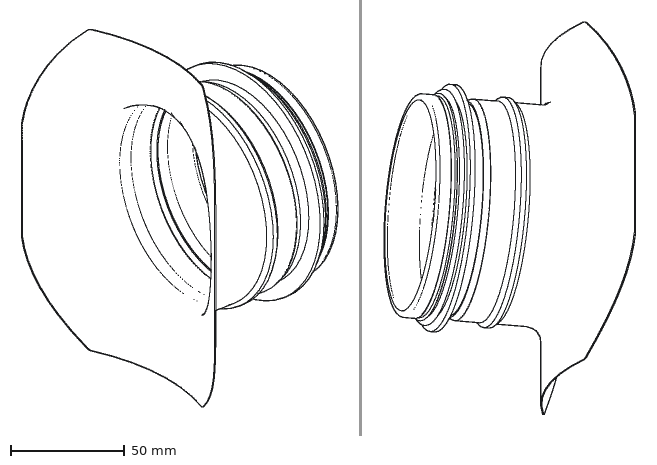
import cadquery as cq
import math


wall = 0.5
saddle_inner_radius = 100.0
saddle_outer_radius = saddle_inner_radius + wall
plate_width = 129.0
plate_height = 158.0
side_flat_half_height = 27.6
end_flat_half_width = 37.8
corner_arc_mid = (56.4, 55.3)
plate_corner_rounding = 3.2
flare_inner_radius = 7.5
flare_outer_radius = flare_inner_radius - wall

overall_depth = 86.3
plate_tip_y = math.sqrt(saddle_inner_radius**2 - (plate_width / 2) ** 2)
mouth_y = plate_tip_y + overall_depth
pipe_radius = 98.1 / 2
neck_radius = 94.3 / 2
pipe_bore_radius = pipe_radius - wall
neck_bore_radius = neck_radius - wall
shoulder_start_y = mouth_y - 24.3
shoulder_end_y = mouth_y - 21.3
shoulder_top_radius = neck_radius + 0.8

bead_radius = 102.0 / 2
bead_centre_y = mouth_y - 38.9
bead_width = 6.6
bead_crest_width = 2.4

hem_radius = 99.0 / 2
hem_length = 6.3
hem_rounding = 1.3

seal_radius = pipe_radius
flange_radius = 109.5 / 2
flange_thickness = 2.2
flange_y = mouth_y - 14.7
main_lip_radius = 104.5 / 2
main_lip_thickness = 1.6
main_lip_y = mouth_y - 10.9
lip_tip_rounding = 0.4
small_lip_radius = 100.6 / 2
small_lip_thickness = 0.8
small_lip_y = mouth_y - 8.5


def revolve_about_branch(profile):
    """Revolve a closed (radius, y) profile about the Y axis."""
    return profile.close().revolve(360, (0, 0, 0), (0, 1, 0))


def ring(inner_radius, outer_radius, start_y, length):
    """Plain ring around the branch axis, starting at start_y."""
    profile = (
        cq.Workplane("XY")
        .moveTo(inner_radius, start_y)
        .lineTo(outer_radius, start_y)
        .lineTo(outer_radius, start_y + length)
        .lineTo(inner_radius, start_y + length)
    )
    return revolve_about_branch(profile)


def saddle_with_branch(saddle_radius, branch_radius, flare_radius):
    """Half cylinder of the main pipe joined to a branch by a rounded flare."""
    main_pipe = cq.Workplane("XY").circle(saddle_radius).extrude(plate_height / 2 + 1.6, both=True)
    front_half = cq.Workplane("XY").box(
        3 * saddle_radius, 2 * saddle_radius, 2 * plate_height
    ).translate((0, -saddle_radius, 0))
    main_pipe = main_pipe.cut(front_half)
    branch = cq.Workplane("XZ").circle(branch_radius).extrude(-shoulder_start_y)
    joined = main_pipe.union(branch)
    reach = branch_radius + 1.6
    joint = cq.selectors.BoxSelector(
        (-reach, 1.6, -reach), (reach, saddle_radius + 1.6, reach), boundingbox=True
    )
    return joined.edges(joint).fillet(flare_radius)


def plate_outline():
    """Plate outline as a block along Y: flat sides and ends, arched corners."""
    half_width = plate_width / 2
    half_height = plate_height / 2
    arc_x, arc_z = corner_arc_mid
    outline = (
        cq.Workplane("XZ")
        .moveTo(half_width, -side_flat_half_height)
        .lineTo(half_width, side_flat_half_height)
        .threePointArc((arc_x, arc_z), (end_flat_half_width, half_height))
        .lineTo(-end_flat_half_width, half_height)
        .threePointArc((-arc_x, arc_z), (-half_width, side_flat_half_height))
        .lineTo(-half_width, -side_flat_half_height)
        .threePointArc((-arc_x, -arc_z), (-end_flat_half_width, -half_height))
        .lineTo(end_flat_half_width, -half_height)
        .threePointArc((arc_x, -arc_z), (half_width, -side_flat_half_height))
        .close()
        .extrude(-mouth_y)
    )
    return outline.edges("|Y").edges(">Z or <Z").fillet(plate_corner_rounding)


def stop_bead():
    """Solid bead with sloped flanks and a flat crest."""
    half_width = bead_width / 2
    half_crest = bead_crest_width / 2
    profile = (
        cq.Workplane("XY")
        .moveTo(pipe_bore_radius, bead_centre_y - half_width)
        .lineTo(pipe_radius, bead_centre_y - half_width)
        .lineTo(bead_radius, bead_centre_y - half_crest)
        .lineTo(bead_radius, bead_centre_y + half_crest)
        .lineTo(pipe_radius, bead_centre_y + half_width)
        .lineTo(pipe_bore_radius, bead_centre_y + half_width)
    )
    return revolve_about_branch(profile)


def shoulder_neck_and_hem():
    """Sheet that steps in to the neck and folds back outwards at the mouth."""
    hem_end_y = mouth_y - hem_length
    profile = (
        cq.Workplane("XY")
        .moveTo(pipe_bore_radius, shoulder_start_y)
        .lineTo(pipe_radius, shoulder_start_y)
        .lineTo(shoulder_top_radius, shoulder_end_y)
        .lineTo(neck_radius, shoulder_end_y)
        .lineTo(neck_radius, mouth_y - hem_rounding)
        .lineTo(seal_radius, mouth_y - hem_rounding)
        .lineTo(seal_radius, hem_end_y)
        .lineTo(hem_radius, hem_end_y)
        .lineTo(hem_radius, mouth_y - hem_rounding)
        .radiusArc((hem_radius - hem_rounding, mouth_y), -hem_rounding)
        .lineTo(neck_bore_radius, mouth_y)
        .lineTo(neck_bore_radius, shoulder_end_y - wall)
        .lineTo(shoulder_top_radius - wall, shoulder_end_y - wall)
    )
    return revolve_about_branch(profile)


def make_fitting():
    outside = saddle_with_branch(saddle_outer_radius, pipe_radius, flare_outer_radius)
    inside = saddle_with_branch(saddle_inner_radius, pipe_bore_radius, flare_inner_radius)
    saddle = outside.cut(inside).intersect(plate_outline())
    return saddle.union(stop_bead()).union(shoulder_neck_and_hem()).solids()


def make_seal():
    """Sleeve on the neck, tucked under the hem, with a flange and two lips."""
    sleeve_start_y = flange_y - flange_thickness / 2
    sleeve_length = mouth_y - hem_rounding - sleeve_start_y
    seal = ring(neck_radius, seal_radius, sleeve_start_y, sleeve_length)
    flange = ring(neck_radius, flange_radius, sleeve_start_y, flange_thickness)
    seal = seal.union(flange)
    lips = [
        (main_lip_radius, main_lip_y, main_lip_thickness),
        (small_lip_radius, small_lip_y, small_lip_thickness),
    ]
    for radius, centre_y, thickness in lips:
        lip = ring(neck_radius, radius, centre_y - thickness / 2, thickness)
        tip_edges = lip.edges(cq.selectors.RadiusNthSelector(-1))
        seal = seal.union(tip_edges.fillet(lip_tip_rounding * thickness))
    return seal.solids()


fitting = make_fitting()
seal = make_seal()
result = cq.Compound.makeCompound([fitting.val(), seal.val()])